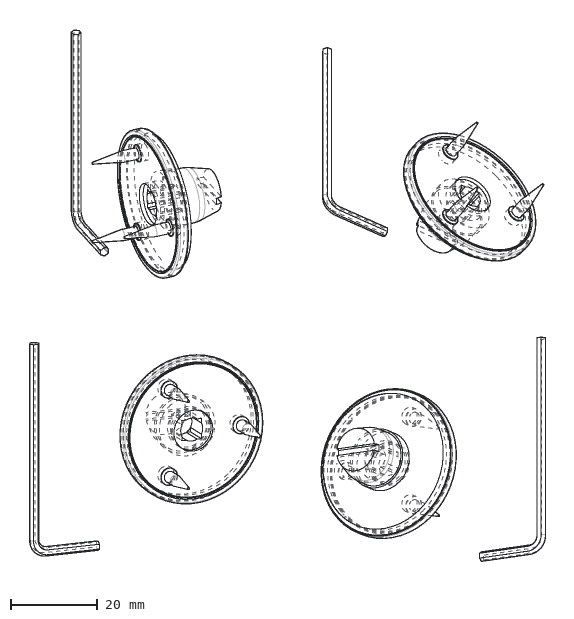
import cadquery as cq
import math


base_radius = 17.55
base_back = 3.75
rim_back = 2.4
rim_fillet = 0.35
neck_radius = 16.05

groove_outer_radius = 16.35
groove_floor_radius = 16.1
groove_depth = 0.25

plate_radius = 15.9
plate_thickness = 2.0

shank_radius = 4.85
shank_front = 1.0
collar_radius = 7.0
collar_back = 6.75
hub_radius = 6.5
hub_tip_radius = 5.05
hub_back = 16.35
taper_angle = 15.0
taper_blend_radius = 5.3
slot_width = 1.6
slot_depth = 1.45
socket_side = 4.8
socket_drill_radius = 2.75
socket_depth = 6.45
drill_point_angle = 118.0

spike_count = 3
spike_circle_radius = 12.0
spike_body_radius = 2.05
spike_radius = 1.35
spike_cone_base = 0.25
spike_cone_tip = -0.2
spike_taper_start = -3.75
spike_tip = -11.4
spike_tip_radius = 0.25

key_flats = 2.0
key_left = -41.1
key_right = -24.0
key_top = 25.05
key_bottom = -26.1
key_bend_radius = 3.0
key_y = -0.2


def revolve_about_y(profile):
    """Revolve a closed profile of (radius, Y) around the Y axis."""
    return profile.close().revolve(360, (0, 0, 0), (0, 1, 0))


def rod(radius, start, end):
    """Cylinder on the Y axis from start to end."""
    return cq.Workplane("XZ", origin=(0, start, 0)).circle(radius).extrude(start - end)


def spike_positions():
    """X and Z of every spike, the first on +X."""
    angles = [2 * math.pi * i / spike_count for i in range(spike_count)]
    return [(spike_circle_radius * math.cos(a), spike_circle_radius * math.sin(a)) for a in angles]


def make_base():
    cove = base_back - rim_back
    cove_mid = cove * math.sqrt(0.5)
    cove_centre_radius = neck_radius + cove
    profile = (
        cq.Workplane("XY")
        .moveTo(0, plate_thickness)
        .lineTo(plate_radius, plate_thickness)
        .lineTo(plate_radius, groove_depth)
        .lineTo(groove_floor_radius, groove_depth)
        .lineTo(groove_outer_radius, 0)
        .lineTo(base_radius - rim_fillet, 0)
        .radiusArc((base_radius, rim_fillet), -rim_fillet)
        .lineTo(base_radius, rim_back - rim_fillet)
        .radiusArc((base_radius - rim_fillet, rim_back), -rim_fillet)
        .lineTo(cove_centre_radius, rim_back)
        .threePointArc(
            (cove_centre_radius - cove_mid, base_back - cove_mid),
            (neck_radius, base_back),
        )
        .lineTo(0, base_back)
    )
    return revolve_about_y(profile).cut(rod(shank_radius, 0, base_back))


def make_plate():
    plate = rod(plate_radius, 0, plate_thickness).cut(rod(shank_radius, 0, plate_thickness))
    for x, z in spike_positions():
        plate = plate.cut(rod(spike_body_radius, 0, plate_thickness).translate((x, 0, z)))
    return plate


def make_socket():
    """Square socket over a larger pilot drilling with a conical bottom."""
    socket_end = shank_front + socket_depth
    point_length = socket_drill_radius / math.tan(math.radians(drill_point_angle / 2))
    drilling = revolve_about_y(
        cq.Workplane("XY")
        .moveTo(0, shank_front)
        .lineTo(socket_drill_radius, shank_front)
        .lineTo(socket_drill_radius, socket_end)
        .lineTo(0, socket_end + point_length)
    )
    square = (
        cq.Workplane("XZ", origin=(0, shank_front, 0))
        .rect(socket_side, socket_side)
        .extrude(-socket_depth)
    )
    return drilling.union(square)


def make_hub():
    taper = math.radians(taper_angle)
    taper_corner = hub_back - (hub_radius - hub_tip_radius) / math.tan(taper)
    blend_reach = taper_blend_radius * math.tan(taper / 2)
    hub = revolve_about_y(
        cq.Workplane("XY")
        .moveTo(0, shank_front)
        .lineTo(shank_radius, shank_front)
        .lineTo(shank_radius, base_back)
        .lineTo(collar_radius, base_back)
        .lineTo(collar_radius, collar_back)
        .lineTo(hub_radius, collar_back)
        .lineTo(hub_radius, taper_corner - blend_reach)
        .radiusArc(
            (hub_radius - blend_reach * math.sin(taper), taper_corner + blend_reach * math.cos(taper)),
            -taper_blend_radius,
        )
        .lineTo(hub_tip_radius, hub_back)
        .lineTo(0, hub_back)
    )
    slot = cq.Workplane("XY").box(2 * hub_radius, 2 * slot_depth, slot_width).translate((0, hub_back, 0))
    return hub.cut(make_socket()).cut(slot)


def make_spike(x, z):
    spike = revolve_about_y(
        cq.Workplane("XY")
        .moveTo(0, plate_thickness)
        .lineTo(spike_body_radius, plate_thickness)
        .lineTo(spike_body_radius, spike_cone_base)
        .lineTo(spike_radius, spike_cone_tip)
        .lineTo(spike_radius, spike_taper_start)
        .lineTo(spike_tip_radius, spike_tip)
        .lineTo(0, spike_tip)
    )
    return spike.translate((x, 0, z))


def make_key():
    """Hexagonal bar bent to an L, with one pair of flats facing front and back."""
    corner_radius = key_flats / math.sqrt(3)
    long_arm_x = key_left + corner_radius
    short_arm_z = key_bottom + corner_radius
    path = (
        cq.Workplane("XZ", origin=(0, key_y, 0))
        .moveTo(long_arm_x, key_top)
        .lineTo(long_arm_x, short_arm_z + key_bend_radius)
        .radiusArc((long_arm_x + key_bend_radius, short_arm_z), -key_bend_radius)
        .lineTo(key_right, short_arm_z)
    )
    return (
        cq.Workplane("XY", origin=(long_arm_x, key_y, key_top))
        .polygon(6, 2 * corner_radius)
        .sweep(path)
    )


base = make_base()
plate = make_plate()
hub = make_hub()
spikes = [make_spike(x, z) for x, z in spike_positions()]
key = make_key()

result = cq.Compound.makeCompound(
    [base.val(), plate.val(), hub.val(), *[spike.val() for spike in spikes], key.val()]
)